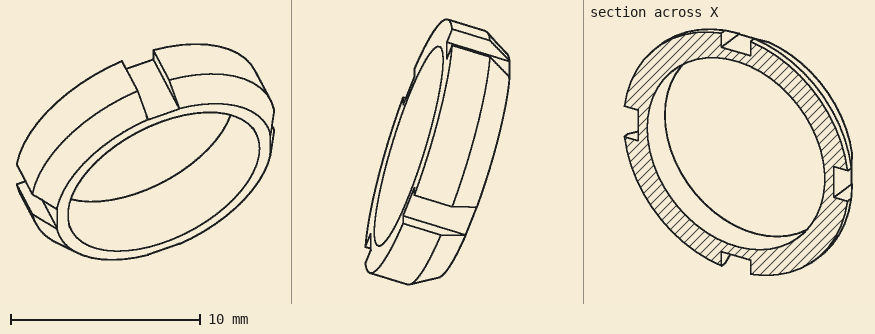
import cadquery as cq
import math

outer_diameter = 14.0
bore_diameter = 11.0
thickness = 3.5

chamfer_end_diameter = 12.4
chamfer_angle = 30.0

slot_count = 4
slot_width = 1.8
slot_floor_radius = 6.1

outer_radius = outer_diameter / 2
bore_radius = bore_diameter / 2
chamfer_end_radius = chamfer_end_diameter / 2
chamfer_length = (outer_radius - chamfer_end_radius) / math.tan(math.radians(chamfer_angle))


def make_ring():
    """Revolve the half section of the chamfered ring about the X axis."""
    half_section = (
        cq.Workplane("XY")
        .moveTo(0, bore_radius)
        .lineTo(thickness, bore_radius)
        .lineTo(thickness, chamfer_end_radius)
        .lineTo(thickness - chamfer_length, outer_radius)
        .lineTo(0, outer_radius)
        .close()
    )
    return half_section.revolve(360, (0, 0, 0), (1, 0, 0))


def make_slot_cutter(angle):
    """Block that fills one rim slot, turned about the X axis by the given angle."""
    cutter = cq.Workplane("XY").box(
        thickness, slot_width, slot_width, centered=(False, True, False)
    )
    return cutter.translate((0, 0, slot_floor_radius)).rotate((0, 0, 0), (1, 0, 0), angle)


result = make_ring()
for slot_index in range(slot_count):
    result = result.cut(make_slot_cutter(slot_index * 360 / slot_count))